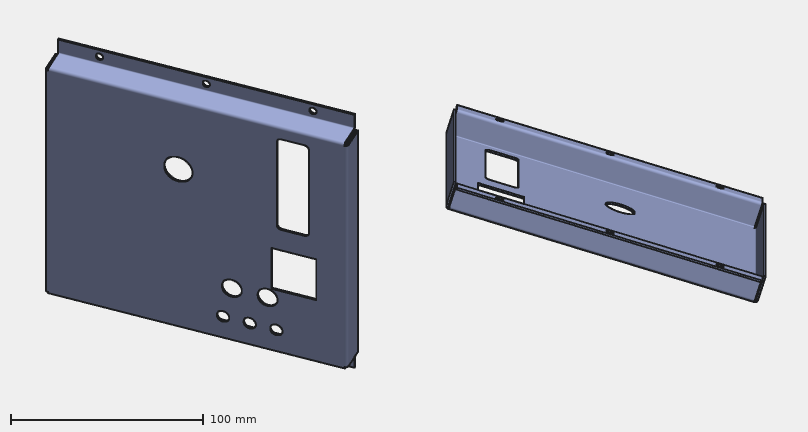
import cadquery as cq

width = 170.0
depth = 15.0
wall_height = 150.0
flange_height = 8.8
sheet = 1.1
inner_bend = 0.6
outer_bend = inner_bend + sheet

face_width = width - 2 * outer_bend
face_height = wall_height - 2 * outer_bend

half_width = width / 2
half_height = wall_height / 2
flange_edge = half_height + flange_height
flange_front = depth - sheet

mount_diameter = 4.0
mount_spacing = 60.0
mount_height = half_height + flange_height / 2

exhaust_diameter = 16.0
exhaust_center = (-10.0, 30.0)
fuse_diameter = 11.2
fuse_spacing = 20.0
fuse_centers = [(40.1 - i * fuse_spacing, -40.0) for i in range(2)]
lamp_diameter = 7.0
lamp_spacing = 15.0
lamp_centers = [(45.0 - i * lamp_spacing, -60.0) for i in range(3)]

connector_width = 18.0
connector_height = 60.0
connector_corner = 2.5
connector_center = (54.4, 37.0)
switch_width = 25.2
switch_height = 27.0
switch_center = (54.9, -20.0)


def through_y(outline, x, z):
    """Extrude a closed XZ outline through the whole depth, centred on (x, z)."""
    return outline.extrude(depth / 2, both=True).translate((x, depth / 2, z))


def round_cutter(diameter, x, z):
    return through_y(cq.Workplane("XZ").circle(diameter / 2), x, z)


def rect_cutter(size_x, size_z, x, z):
    return through_y(cq.Workplane("XZ").rect(size_x, size_z), x, z)


def face_plate():
    return cq.Workplane("XY").box(face_width, sheet, face_height).translate((0, sheet / 2, 0))


def right_side():
    """Side wall with its bend, from the face bend line to the back edge."""
    profile = (
        cq.Workplane("XY")
        .moveTo(half_width - outer_bend, 0)
        .radiusArc((half_width, outer_bend), -outer_bend)
        .lineTo(half_width, depth)
        .lineTo(half_width - sheet, depth)
        .lineTo(half_width - sheet, outer_bend)
        .radiusArc((half_width - outer_bend, sheet), inner_bend)
        .close()
    )
    return profile.extrude(face_height / 2, both=True)


def top_side():
    """Top wall with the bend to the face and the outward bend to the mounting flange."""
    wall_inside = half_height - sheet
    profile = (
        cq.Workplane("YZ")
        .moveTo(0, half_height - outer_bend)
        .radiusArc((outer_bend, half_height), outer_bend)
        .lineTo(flange_front - inner_bend, half_height)
        .radiusArc((flange_front, half_height + inner_bend), -inner_bend)
        .lineTo(flange_front, flange_edge)
        .lineTo(depth, flange_edge)
        .lineTo(depth, half_height + inner_bend)
        .radiusArc((depth - outer_bend, wall_inside), outer_bend)
        .lineTo(outer_bend, wall_inside)
        .radiusArc((sheet, half_height - outer_bend), -inner_bend)
        .close()
    )
    top = profile.extrude(face_width / 2, both=True)
    for i in (-1, 0, 1):
        top = top.cut(round_cutter(mount_diameter, i * mount_spacing, mount_height))
    return top


def cut_face_openings(face):
    face = face.cut(round_cutter(exhaust_diameter, *exhaust_center))
    for center in fuse_centers:
        face = face.cut(round_cutter(fuse_diameter, *center))
    for center in lamp_centers:
        face = face.cut(round_cutter(lamp_diameter, *center))
    connector = rect_cutter(connector_width, connector_height, *connector_center)
    face = face.cut(connector.edges("|Y").fillet(connector_corner))
    return face.cut(rect_cutter(switch_width, switch_height, *switch_center))


right = right_side()
top = top_side()
result = (
    cut_face_openings(face_plate())
    .union(right)
    .union(right.mirror("YZ"))
    .union(top)
    .union(top.mirror("XY"))
)